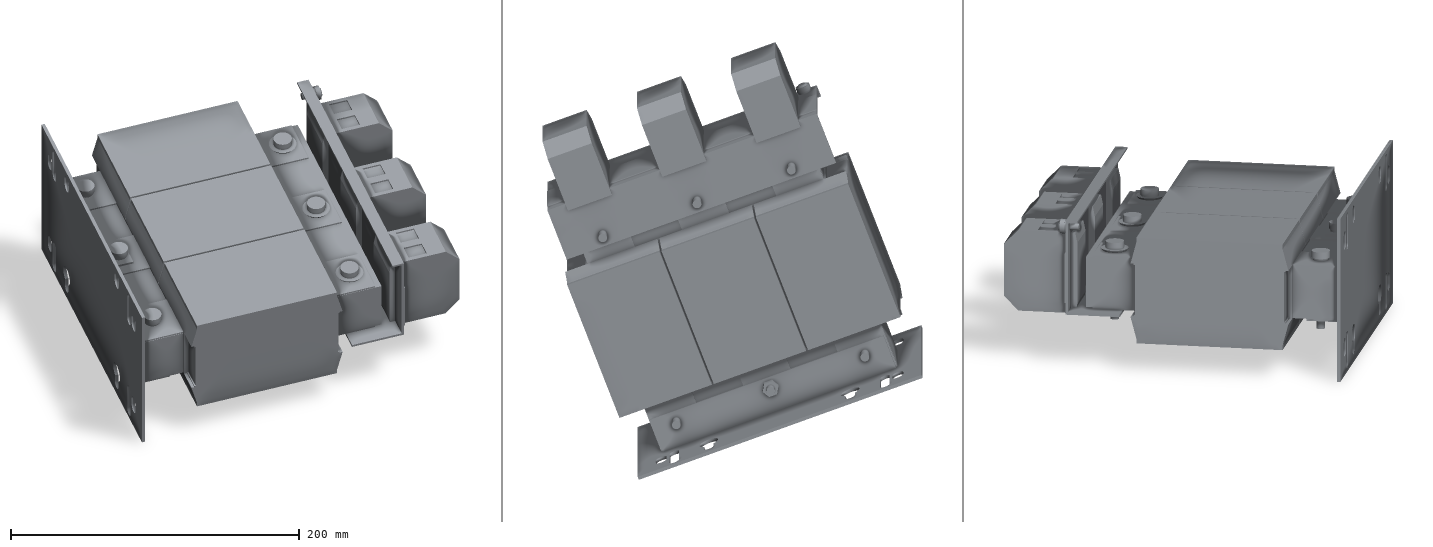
import cadquery as cq


PITCH = 69.8
PHASE_X = [-PITCH, 0, PITCH]

PLATE_W = 210.0
PLATE_T = 2.5
PLATE_H = 117.0
LONG_SLOT = {"x": 78.0, "z": 42.7, "length": 26.5, "width": 7.2}
SHORT_SLOT = {"x": 87.5, "z": 38.5, "length": 13.0, "width": 8.2}
KEYHOLE_X = 52.3
UPPER_SLOT = {"z": 47.7, "length": 12.5, "width": 8.9}
KEYHOLE_Z = -38.1
KEYHOLE_D = 13.7
KEYHOLE_NECK_W = 7.0
KEYHOLE_BOTTOM_Z = -53.0

PAD_W = 35.0
PAD_INSET = 0.2
CORE_W = 2 * (PITCH + PAD_INSET) + PAD_W
CORE_HALF_H = 18.0
CORE_END_Y = 182.0
PAD_HALF_H = 19.2
PAD_END_Y = 177.5

COIL_GAP = 1.5
COIL_W = PITCH - COIL_GAP
COIL_Y0 = 40.8
COIL_Y1 = 143.7
COIL_HALF_H = 38.0
LIP_REACH = 4.0
LIP_TOP_Z = 34.5
LIP_BOTTOM_Z = PAD_HALF_H
LEDGE_DEPTH = 2.0
LEDGE_H = 1.0
END_PLATE_T = 1.0
END_PLATE_INSET = 0.2
COLLAR_WALL = 1.2

SHEET_T = 1.7
FLANGE_Z = PAD_HALF_H + SHEET_T
FOOT_END_Y = 27.0
TOP_FOOT_W = 19.7
BOTTOM_FOOT_W = CORE_W - 2.5
FRONT_BOLT_Y = 20.0
REAR_BOLT_Y = 164.8
HEAD_D = 12.7
HEAD_H = 4.8
NECK_D = 11.0
SHANK_D = 6.0
SHANK_END_Z = -30.2
NUT_ACROSS_FLATS = 10.0
NUT_H = 4.5
WASHER_TOP_R = 9.5
WASHER_BOTTOM_R = 8.5

BRACKET_W = 199.4
BRACKET_Y = 194.3
BRACKET_TOP_Z = 46.3
BRACKET_TOP_T = 1.5
BRACKET_TOP_Y = 186.0
BRACKET_FOOT_Y = 156.2
STRIP_T = 0.7
STRIP_Z0 = -12.5
STRIP_Z1 = 22.8

BLOCK_W = 32.6
BLOCK_Y0 = 188.3
BLOCK_Y1 = 240.0
BLOCK_Z0 = -23.3
BLOCK_Z1 = 34.5
BLOCK_CHAMFER = 10.0
NOSE_DEPTH = 1.5
NOSE_HEIGHT = 7.2
WINDOW_W = 10.5
WINDOW_L = 13.2
WINDOW_Y = 210.2
WINDOW_DEPTH = 1.2

SCREW_X = -91.0
SCREW_Z = 40.3
SCREW_WASHER_R = 4.5
SCREW_WASHER_T = 1.5
SCREW_HEAD_R = 5.0
SCREW_HEAD_H = 3.4
SCREW_DOME_R = 4.0
SCREW_DOME_H = 1.2
SCREW_SHANK_R = 2.5
SCREW_TIP_Y = 186.2


def span_box(x_mid, width, y0, y1, z0, z1):
    """Box centred on x_mid and spanning the given Y and Z limits."""
    return cq.Workplane("XY").box(width, y1 - y0, z1 - z0).translate((x_mid, (y0 + y1) / 2, (z0 + z1) / 2))


def disc_z(x, y, z0, z1, diameter):
    """Upright cylinder between two heights."""
    return cq.Workplane("XY", origin=(x, y, z0)).circle(diameter / 2).extrude(z1 - z0)


def disc_y(x, z, y0, y1, radius):
    """Cylinder along Y between two depths."""
    return cq.Workplane("XZ", origin=(x, y0, z)).circle(radius).extrude(y0 - y1)


def side_extrusion(points, x_mid, width):
    """Extrude a closed (Y, Z) outline across X."""
    return cq.Workplane("YZ", origin=(x_mid - width / 2, 0, 0)).polyline(points).close().extrude(width)


def upright_slots(places, length, width):
    """Cutters for round-ended vertical slots through the mounting plate."""
    return cq.Workplane("XZ").pushPoints(places).slot2D(length, width, 90).extrude(-PLATE_T)


def mounting_plate():
    plate = span_box(0, PLATE_W, 0, PLATE_T, -PLATE_H / 2, PLATE_H / 2)
    for slot in (LONG_SLOT, SHORT_SLOT):
        places = [(sx * slot["x"], sz * slot["z"]) for sx in (-1, 1) for sz in (-1, 1)]
        plate = plate.cut(upright_slots(places, slot["length"], slot["width"]))
    upper_places = [(-KEYHOLE_X, UPPER_SLOT["z"]), (KEYHOLE_X, UPPER_SLOT["z"])]
    plate = plate.cut(upright_slots(upper_places, UPPER_SLOT["length"], UPPER_SLOT["width"]))
    neck_top_z = KEYHOLE_Z + KEYHOLE_NECK_W / 2
    neck_mid_z = (neck_top_z + KEYHOLE_BOTTOM_Z) / 2
    for x in (-KEYHOLE_X, KEYHOLE_X):
        plate = plate.cut(disc_y(x, KEYHOLE_Z, 0, PLATE_T, KEYHOLE_D / 2))
        plate = plate.cut(upright_slots([(x, neck_mid_z)], neck_top_z - KEYHOLE_BOTTOM_Z, KEYHOLE_NECK_W))
    return plate


def core():
    body = span_box(0, CORE_W, PLATE_T, CORE_END_Y, -CORE_HALF_H, CORE_HALF_H)
    for x in PHASE_X:
        body = body.union(span_box(x, PAD_W, PLATE_T, PAD_END_Y, -PAD_HALF_H, PAD_HALF_H))
    return body


def coil(x):
    """One winding with flared lips above and below the core and a thin plate at both ends."""
    lip_y0 = COIL_Y0 - LIP_REACH
    lip_y1 = COIL_Y1 + LIP_REACH
    upper_half = [
        (COIL_Y0, 0),
        (COIL_Y0, LIP_BOTTOM_Z - LEDGE_H),
        (COIL_Y0 - LEDGE_DEPTH, LIP_BOTTOM_Z - LEDGE_H),
        (COIL_Y0 - LEDGE_DEPTH, LIP_BOTTOM_Z),
        (lip_y0, LIP_BOTTOM_Z),
        (COIL_Y0, LIP_TOP_Z),
        (COIL_Y0, COIL_HALF_H),
        (COIL_Y1, COIL_HALF_H),
        (COIL_Y1, LIP_TOP_Z),
        (lip_y1, LIP_BOTTOM_Z),
        (COIL_Y1 + LEDGE_DEPTH, LIP_BOTTOM_Z),
        (COIL_Y1 + LEDGE_DEPTH, LIP_BOTTOM_Z - LEDGE_H),
        (COIL_Y1, LIP_BOTTOM_Z - LEDGE_H),
        (COIL_Y1, 0),
    ]
    upper = side_extrusion(upper_half, x, COIL_W)
    winding = upper.union(upper.mirror("XY"))
    end_plates = span_box(
        x,
        COIL_W - 2 * END_PLATE_INSET,
        COIL_Y0 - END_PLATE_T,
        COIL_Y1 + END_PLATE_T,
        -LIP_BOTTOM_Z,
        LIP_BOTTOM_Z,
    )
    return winding.union(end_plates)


def core_collar():
    """Thin sleeve around the core that ends level with the coil lips."""
    return span_box(
        0,
        CORE_W + 2 * COLLAR_WALL,
        COIL_Y0 - LIP_REACH,
        COIL_Y1 + LIP_REACH,
        -PAD_HALF_H,
        PAD_HALF_H,
    )


def core_feet():
    """Flanges from the mounting plate: a narrow one on top, one almost as wide as the core below."""
    top = span_box(0, TOP_FOOT_W, PLATE_T, FOOT_END_Y, PAD_HALF_H, FLANGE_Z)
    bottom = span_box(0, BOTTOM_FOOT_W, PLATE_T, FOOT_END_Y, -FLANGE_Z, -PAD_HALF_H)
    return top.union(bottom)


def bolt(x, y, seat_z):
    """Core bolt: round head on a short neck and a shank reaching out below the core."""
    head_z = seat_z + SHEET_T
    neck = disc_z(x, y, seat_z, head_z, NECK_D)
    head = disc_z(x, y, head_z, head_z + HEAD_H, HEAD_D)
    return head.union(neck).union(disc_z(x, y, SHANK_END_Z, seat_z, SHANK_D))


def conical_washer(x):
    lower = cq.Workplane("XY", origin=(x, REAR_BOLT_Y, PAD_HALF_H)).circle(WASHER_BOTTOM_R)
    return lower.workplane(offset=SHEET_T).circle(WASHER_TOP_R).loft(ruled=True)


def centre_nut():
    """Hexagon nut under the bottom foot, with two of its corners along Y."""
    hexagon = cq.Workplane("XY").polygon(6, NUT_ACROSS_FLATS, circumscribed=True).extrude(-NUT_H)
    return hexagon.rotate((0, 0, 0), (0, 0, 1), 90).translate((0, FRONT_BOLT_Y, -FLANGE_Z))


def fasteners():
    parts = centre_nut()
    for x in PHASE_X:
        front_seat_z = FLANGE_Z if x == 0 else PAD_HALF_H
        parts = parts.union(bolt(x, FRONT_BOLT_Y, front_seat_z))
        parts = parts.union(bolt(x, REAR_BOLT_Y, PAD_HALF_H))
        parts = parts.union(conical_washer(x))
    return parts


def terminal_bracket():
    inner_y = BRACKET_Y - SHEET_T
    profile = [
        (BRACKET_Y, -FLANGE_Z),
        (BRACKET_Y, BRACKET_TOP_Z),
        (BRACKET_TOP_Y, BRACKET_TOP_Z),
        (BRACKET_TOP_Y, BRACKET_TOP_Z - BRACKET_TOP_T),
        (inner_y, BRACKET_TOP_Z - BRACKET_TOP_T),
        (inner_y, -PAD_HALF_H),
        (BRACKET_FOOT_Y, -PAD_HALF_H),
        (BRACKET_FOOT_Y, -FLANGE_Z),
    ]
    strip = span_box(0, BRACKET_W, BRACKET_Y, BRACKET_Y + STRIP_T, STRIP_Z0, STRIP_Z1)
    return side_extrusion(profile, 0, BRACKET_W).union(strip)


def terminal_block(x):
    """Pair of terminals that passes through the bracket, with one window in the top of each."""
    profile = [
        (BLOCK_Y0, BLOCK_Z0 + NOSE_HEIGHT),
        (BLOCK_Y0, BLOCK_Z1 - NOSE_HEIGHT),
        (BLOCK_Y0 + NOSE_DEPTH, BLOCK_Z1),
        (BLOCK_Y1 - BLOCK_CHAMFER, BLOCK_Z1),
        (BLOCK_Y1, BLOCK_Z1 - BLOCK_CHAMFER),
        (BLOCK_Y1, BLOCK_Z0 + BLOCK_CHAMFER),
        (BLOCK_Y1 - BLOCK_CHAMFER, BLOCK_Z0),
        (BLOCK_Y0 + NOSE_DEPTH, BLOCK_Z0),
    ]
    block = side_extrusion(profile, x, BLOCK_W)
    for window_x in (x - BLOCK_W / 4, x + BLOCK_W / 4):
        window = span_box(
            window_x,
            WINDOW_W,
            WINDOW_Y - WINDOW_L / 2,
            WINDOW_Y + WINDOW_L / 2,
            BLOCK_Z1 - WINDOW_DEPTH,
            BLOCK_Z1,
        )
        block = block.cut(window)
    return block


def earth_screw():
    """Domed screw with a washer, through the upper left corner of the bracket."""
    washer_y = BRACKET_Y + SCREW_WASHER_T
    head_y = washer_y + SCREW_HEAD_H
    screw = disc_y(SCREW_X, SCREW_Z, SCREW_TIP_Y, washer_y, SCREW_SHANK_R)
    screw = screw.union(disc_y(SCREW_X, SCREW_Z, BRACKET_Y, washer_y, SCREW_WASHER_R))
    screw = screw.union(disc_y(SCREW_X, SCREW_Z, washer_y, head_y, SCREW_HEAD_R))
    dome = cq.Workplane("XZ", origin=(SCREW_X, head_y, SCREW_Z)).circle(SCREW_DOME_R)
    return screw.union(dome.extrude(-SCREW_DOME_H, taper=45))


result = mounting_plate().union(core()).union(core_collar()).union(core_feet()).union(fasteners())
result = result.union(terminal_bracket()).union(earth_screw())
for phase_x in PHASE_X:
    result = result.union(coil(phase_x)).union(terminal_block(phase_x))